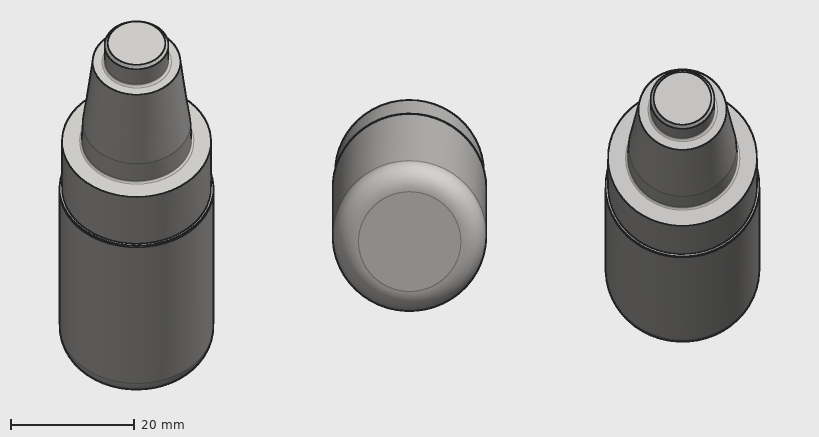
import cadquery as cq

total_height = 73.5
barrel_radius = 25.0 / 2
barrel_height = 37.55
barrel_bottom_round = 4.2

rim_thickness = 0.45
collar_radius = 24.2 / 2
collar_top = 49.5
rim_top = barrel_height + rim_thickness

neck_radius = 8.9
neck_foot_round = 0.4
cone_bottom = 53.9
cone_bottom_radius = 8.75
cone_top = 68.95
cone_top_radius = 7.1

tip_radius = 10.4 / 2
tip_chamfer = 0.5
tip_foot_round = 0.45


def make_barrel():
    """Cylindrical lower body with a rounded bottom edge."""
    barrel = cq.Workplane("XY").circle(barrel_radius).extrude(barrel_height)
    return barrel.faces("<Z").edges().fillet(barrel_bottom_round)


def add_foot(profile, radius, base, foot_round):
    """Step in along a flat shoulder, then curve up through a concave round to the given radius."""
    return (
        profile.lineTo(radius + foot_round, base)
        .radiusArc((radius, base + foot_round), foot_round)
    )


def make_cap():
    """Turned upper body: rim, collar, tapered neck and tip, revolved from a half profile."""
    profile = (
        cq.Workplane("XZ")
        .moveTo(0, barrel_height)
        .lineTo(barrel_radius, barrel_height)
        .lineTo(barrel_radius, rim_top)
        .lineTo(collar_radius, rim_top)
        .lineTo(collar_radius, collar_top)
    )
    profile = add_foot(profile, neck_radius, collar_top, neck_foot_round)

    profile = (
        profile.tangentArcPoint((cone_bottom_radius, cone_bottom), relative=False)
        .lineTo(cone_top_radius, cone_top)
    )
    profile = add_foot(profile, tip_radius, cone_top, tip_foot_round)
    profile = (
        profile.lineTo(tip_radius, total_height - tip_chamfer)
        .lineTo(tip_radius - tip_chamfer, total_height)
        .lineTo(0, total_height)
        .close()
    )
    return profile.revolve(360, (0, 0, 0), (0, 1, 0))


barrel = make_barrel()
cap = make_cap()

result = cq.Compound.makeCompound([barrel.val(), cap.val()])